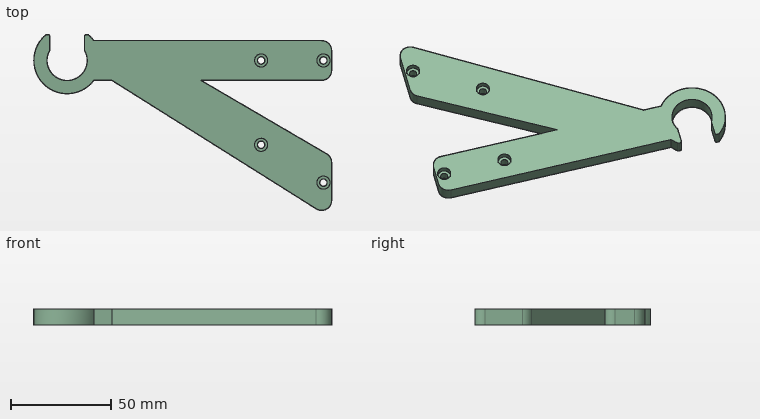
import cadquery as cq

thickness = 8.0
overall_length = 148.3

hook_outer_radius = 16.6
hook_inner_radius = 10.0
throat_half_width = 8.6
tip_height = 12.9
tip_fillet = 0.9

arm_half_width = 10.0
end_x = overall_length - hook_outer_radius
brace_lower_start_x = 22.2
brace_upper_start_x = 66.7
brace_end_top_y = -47.9
brace_end_bottom_y = -78.8
corner_radius = 5.0

hole_diameter = 3.5
counterbore_diameter = 6.5
counterbore_depth = 3.0
inner_hole_x = 96.5
outer_hole_x = 127.5
hole_positions = [
    (inner_hole_x, 0),
    (outer_hole_x, 0),
    (inner_hole_x, -42.0),
    (outer_hole_x, -60.8),
]


def make_arms():
    """Forked plate with rounded corners at the free ends."""
    outline = [
        (0, arm_half_width),
        (end_x, arm_half_width),
        (end_x, -arm_half_width),
        (brace_upper_start_x, -arm_half_width),
        (end_x, brace_end_top_y),
        (end_x, brace_end_bottom_y),
        (brace_lower_start_x, -arm_half_width),
        (0, -arm_half_width),
    ]
    plate = cq.Workplane("XY").polyline(outline).close().extrude(thickness)
    return plate.edges("|Z").edges(">X").fillet(corner_radius)


def make_hook_disc():
    """Solid disc cut flat at the height of the hook tips."""
    disc = cq.Workplane("XY").circle(hook_outer_radius).extrude(thickness)
    keep_height = hook_outer_radius + tip_height
    keep = (
        cq.Workplane("XY")
        .center(0, tip_height - keep_height / 2)
        .rect(2 * hook_outer_radius, keep_height)
        .extrude(thickness)
    )
    return disc.intersect(keep)


def make_hook_opening():
    """Round seat with a straight throat open toward +Y."""
    seat = cq.Workplane("XY").circle(hook_inner_radius).extrude(thickness)
    throat = (
        cq.Workplane("XY")
        .center(0, hook_outer_radius / 2)
        .rect(2 * throat_half_width, hook_outer_radius)
        .extrude(thickness)
    )
    return seat.union(throat)


body = make_arms().union(make_hook_disc()).cut(make_hook_opening())
body = body.faces(">Y").edges("|Z").fillet(tip_fillet)

result = (
    body.faces(">Z")
    .workplane(origin=(0, 0, thickness))
    .pushPoints(hole_positions)
    .cboreHole(hole_diameter, counterbore_diameter, counterbore_depth)
)